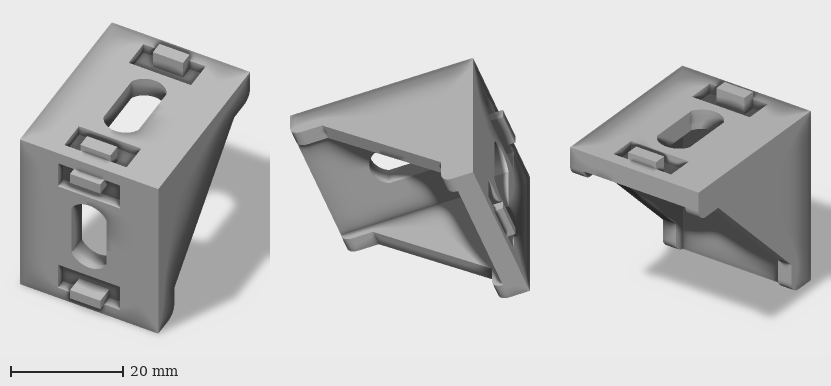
import cadquery as cq

width = 28.0
overall = 36.5
peg_height = 1.45
leg = overall - peg_height
half = overall / 2

lip = 6.1
lip_radius = 2.2
leg_thickness = 4.0
gusset_thickness = 2.92

slot_width = 7.08
slot_length = 15.05
slot_end_radius = 4.0

pocket_width = 12.6
pocket_length = 5.6
pocket_depth = 2.0
pocket_margin = 2.45
peg_width = 6.1
top_inner_peg = 2.6
top_outer_peg = 2.5
front_inner_peg = 2.15
front_outer_peg = 2.0

front_y = -half + peg_height
top_z = half - peg_height
back_y = half
bottom_z = -half

top_face = cq.Plane(origin=(0, front_y, top_z), xDir=(1, 0, 0), normal=(0, 0, 1))
front_face = cq.Plane(origin=(0, front_y, top_z), xDir=(-1, 0, 0), normal=(0, -1, 0))


def make_body():
    """Extrude the triangular side profile and hollow it between the gussets."""
    profile = (
        cq.Workplane("YZ", origin=(-width / 2, 0, 0))
        .moveTo(front_y, top_z)
        .lineTo(back_y, top_z)
        .lineTo(back_y, top_z - lip + lip_radius)
        .tangentArcPoint((back_y - lip_radius, top_z - lip), relative=False)
        .lineTo(back_y - lip, top_z - lip)
        .lineTo(front_y + lip, bottom_z + lip)
        .lineTo(front_y + lip, bottom_z + lip_radius)
        .tangentArcPoint((front_y + lip - lip_radius, bottom_z), relative=False)
        .lineTo(front_y, bottom_z)
        .close()
    )
    body = profile.extrude(width)
    hollow = cq.Workplane("XY").box(
        width - 2 * gusset_thickness, leg, leg, centered=(True, False, False)
    )
    hollow = hollow.translate((0, front_y + leg_thickness, top_z - leg_thickness - leg))
    return body.cut(hollow)


def face_block(face, x_size, start, length, low, high):
    """Block on a leg face; start runs from the corner, low and high are heights above the face."""
    block = cq.Workplane("XY").box(x_size, length, high - low, centered=(True, False, False))
    block = block.translate((0, start, low))
    return cq.Workplane(obj=block.val().moved(face.location))


def slot_cutter(face):
    """Straight-sided slot whose ends are arcs wider than the slot."""
    end_offset = slot_length / 2 - slot_end_radius
    ends = (
        cq.Workplane(face)
        .center(0, leg / 2)
        .pushPoints([(0, -end_offset), (0, end_offset)])
        .circle(slot_end_radius)
        .extrude(-leg)
    )
    middle = cq.Workplane(face).center(0, leg / 2).rect(slot_width, 2 * end_offset).extrude(-leg)
    envelope = cq.Workplane(face).center(0, leg / 2).rect(slot_width, slot_length).extrude(-leg)
    return ends.union(middle).intersect(envelope)


def detail_leg(body, face, inner_peg, outer_peg):
    """Cut the slot and pockets of one leg, then stand the pegs in the pockets."""
    body = body.cut(slot_cutter(face))
    inner_start = pocket_margin
    outer_end = leg - pocket_margin
    for start in (inner_start, outer_end - pocket_length):
        body = body.cut(face_block(face, pocket_width, start, pocket_length, -pocket_depth, 0))
    for start, length in ((inner_start, inner_peg), (outer_end - outer_peg, outer_peg)):
        body = body.union(face_block(face, peg_width, start, length, -pocket_depth, peg_height))
    return body


result = make_body()
result = detail_leg(result, top_face, top_inner_peg, top_outer_peg)
result = detail_leg(result, front_face, front_inner_peg, front_outer_peg)